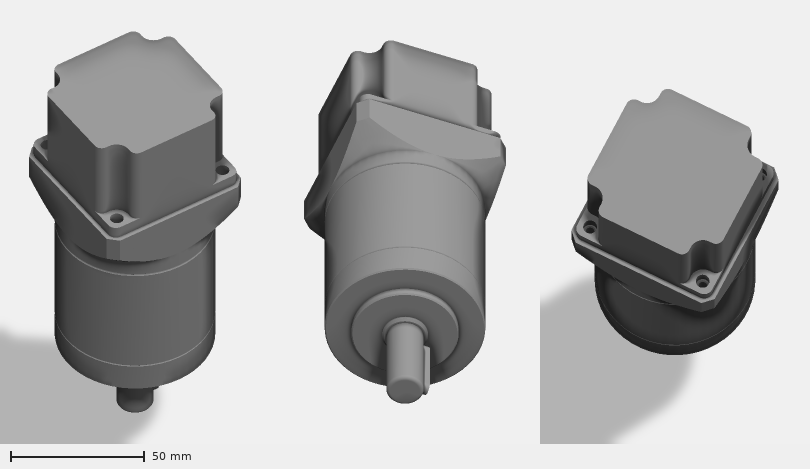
import cadquery as cq
import math

COLLAR_BOTTOM = 30.5
PILOT_BOTTOM = 32.1
GEARBOX_BOTTOM = 35.1
SEAM_Z = 47.3
GROOVE_Z = 94.5
CONE_BOTTOM = 101.5
JOINT_Z = 121.7
FLANGE_TOP = 126.6
MOTOR_TOP = 160.5

GEARBOX_WIDTH = 60.0
GEARBOX_RADIUS = GEARBOX_WIDTH / 2
ADAPTER_CHAMFER = 3.7
CONE_HEIGHT = JOINT_Z - CONE_BOTTOM
CONE_TOP_RADIUS = GEARBOX_RADIUS + CONE_HEIGHT
EDGE_CHAMFER = 0.5
GROOVE_WIDTH = 1.0
SEAM_WIDTH = 0.6

PILOT_RADIUS = 20.0
COLLAR_RADIUS = 8.7
COLLAR_CHAMFER = 0.8
SHAFT_DIAMETER = 14.0
SHAFT_RADIUS = SHAFT_DIAMETER / 2
SHAFT_END_FILLET = 1.5

KEY_WIDTH = 5.0
KEY_LENGTH = 24.7
KEY_BOTTOM = 2.7
KEY_OUTER_Y = 9.0

MOTOR_WIDTH = 56.5
MOTOR_HALF = MOTOR_WIDTH / 2
FLANGE_FILLET = 3.4
SCOOP_OFFSET = 23.9
SCOOP_RADIUS = 5.1
SCOOP_FILLET = 3.0

BOLT_SPACING = 47.2
BOLT_OFFSET = BOLT_SPACING / 2
MOTOR_HOLE_RADIUS = 2.5
TAPPED_HOLE_RADIUS = 1.6
TAPPED_HOLE_CHAMFER = 0.5
TAPPED_HOLE_DEPTH = 10.0
DRILL_POINT_ANGLE = 118
DRILL_POINT_HEIGHT = TAPPED_HOLE_RADIUS / math.tan(math.radians(DRILL_POINT_ANGLE / 2))

BOLT_POINTS = [(x, y) for x in (-BOLT_OFFSET, BOLT_OFFSET) for y in (-BOLT_OFFSET, BOLT_OFFSET)]


def cylinder(radius, bottom, top):
    """Cylinder on the Z axis between two heights."""
    return cq.Workplane("XY").workplane(offset=bottom).circle(radius).extrude(top - bottom)


def rotate_quarters(x, y, turns):
    """Point turned about the Z axis by a number of quarter turns."""
    for _ in range(turns):
        x, y = -y, x
    return x, y


def square_block(width, bottom, top):
    """Square block on the Z axis between two heights."""
    return cq.Workplane("XY").workplane(offset=bottom).rect(width, width).extrude(top - bottom)


def ring_groove(middle_z, width):
    """Ring that cuts a 90 degree V groove around the gearbox."""
    half = width / 2
    inner = GEARBOX_RADIUS - half
    outer = GEARBOX_RADIUS + half
    return (
        cq.Workplane("XZ")
        .polyline([(inner, middle_z), (outer, middle_z + width), (outer, middle_z - width)])
        .close()
        .revolve(360, (0, 0, 0), (0, 1, 0))
    )


def make_adapter():
    """Square motor mount whose lower corners are turned to a cone."""
    block = square_block(GEARBOX_WIDTH, CONE_BOTTOM, JOINT_Z).edges("|Z").chamfer(ADAPTER_CHAMFER)
    cone = (
        cq.Workplane("XY", origin=(0, 0, CONE_BOTTOM))
        .circle(GEARBOX_RADIUS)
        .workplane(offset=CONE_HEIGHT)
        .circle(CONE_TOP_RADIUS)
        .loft()
    )
    return block.intersect(cone)


def make_key():
    """Round-ended key, running from the shaft axis out past its surface."""
    return (
        cq.Workplane("XZ", origin=(0, 0, KEY_BOTTOM + KEY_LENGTH / 2))
        .slot2D(KEY_LENGTH, KEY_WIDTH, 90)
        .extrude(-KEY_OUTER_Y)
    )


def make_tapped_holes():
    """Cutters for the blind screw holes, each with a countersunk mouth and a drill point."""
    bottom = JOINT_Z - TAPPED_HOLE_DEPTH
    chamfer_bottom = JOINT_Z - TAPPED_HOLE_CHAMFER
    mouth_radius = TAPPED_HOLE_RADIUS + TAPPED_HOLE_CHAMFER
    profile = [
        (0, bottom - DRILL_POINT_HEIGHT),
        (TAPPED_HOLE_RADIUS, bottom),
        (TAPPED_HOLE_RADIUS, chamfer_bottom),
        (mouth_radius, JOINT_Z),
        (0, JOINT_Z),
    ]
    drill = cq.Workplane("XZ").polyline(profile).close().revolve(360, (0, 0, 0), (0, 1, 0)).val()
    return cq.Workplane("XY").pushPoints(BOLT_POINTS).eachpoint(lambda place: drill.moved(place))


def make_gearbox():
    """Gearbox with its adapter, pilot, collar, output shaft and key."""
    housing = cylinder(GEARBOX_RADIUS, GEARBOX_BOTTOM, CONE_BOTTOM).faces("<Z").chamfer(EDGE_CHAMFER)
    housing = housing.cut(ring_groove(GROOVE_Z, GROOVE_WIDTH))
    housing = housing.cut(ring_groove(SEAM_Z, SEAM_WIDTH))
    pilot = cylinder(PILOT_RADIUS, PILOT_BOTTOM, GEARBOX_BOTTOM).faces("<Z").chamfer(EDGE_CHAMFER)
    collar = cylinder(COLLAR_RADIUS, COLLAR_BOTTOM, PILOT_BOTTOM).faces("<Z").chamfer(COLLAR_CHAMFER)
    shaft = cylinder(SHAFT_RADIUS, 0, COLLAR_BOTTOM).faces("<Z").fillet(SHAFT_END_FILLET)
    body = housing.union(make_adapter()).union(pilot).union(collar).union(shaft).union(make_key())
    return body.cut(make_tapped_holes())


def make_motor_case():
    """Square case with a rounded screw-clearance channel along each corner."""
    channel_edge = SCOOP_OFFSET - SCOOP_RADIUS
    fillet_start = channel_edge - SCOOP_FILLET
    fillet_end = MOTOR_HALF - SCOOP_FILLET
    arc_middle = math.sqrt(0.5)
    scoop_middle = SCOOP_OFFSET - SCOOP_RADIUS * arc_middle
    fillet_along = fillet_start + SCOOP_FILLET * arc_middle
    fillet_out = fillet_end + SCOOP_FILLET * arc_middle

    corner = [
        (MOTOR_HALF, fillet_start),
        (fillet_out, fillet_along),
        (fillet_end, channel_edge),
        (SCOOP_OFFSET, channel_edge),
        (scoop_middle, scoop_middle),
        (channel_edge, SCOOP_OFFSET),
        (channel_edge, fillet_end),
        (fillet_along, fillet_out),
        (fillet_start, MOTOR_HALF),
    ]
    outline = cq.Workplane("XY").workplane(offset=FLANGE_TOP).moveTo(MOTOR_HALF, -fillet_start)
    for turns in range(4):
        points = [rotate_quarters(x, y, turns) for x, y in corner]
        outline = (
            outline.lineTo(*points[0])
            .threePointArc(points[1], points[2])
            .lineTo(*points[3])
            .threePointArc(points[4], points[5])
            .lineTo(*points[6])
            .threePointArc(points[7], points[8])
        )
    return outline.close().extrude(MOTOR_TOP - FLANGE_TOP)


def make_motor():
    """Square motor with a drilled flange and scooped corners."""
    flange = square_block(MOTOR_WIDTH, JOINT_Z, FLANGE_TOP).edges("|Z").fillet(FLANGE_FILLET)
    holes = (
        cq.Workplane("XY")
        .workplane(offset=JOINT_Z)
        .pushPoints(BOLT_POINTS)
        .circle(MOTOR_HOLE_RADIUS)
        .extrude(FLANGE_TOP - JOINT_Z)
    )
    return flange.cut(holes).union(make_motor_case())


gearbox = make_gearbox()
motor = make_motor()
result = cq.Compound.makeCompound([gearbox.val(), motor.val()])